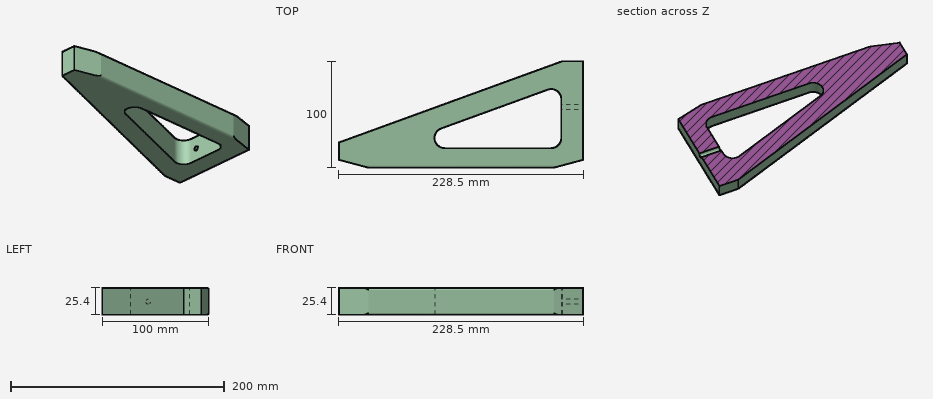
import cadquery as cq
import math

length = 228.5
width = 100.0
thickness = 25.4

tail_top = 23.8
slope_angle = 20.0
corner_cut = 27.5
corner_cut_angle = 15.0
front_edge_radius = 2.0

back_wall = 20.5
end_wall = 20.5
front_wall = 18.5
window_radius = 9.4

hole_diameter = 4.5
hole_y = 57.2

slope = math.tan(math.radians(slope_angle))
corner_rise = corner_cut * math.tan(math.radians(corner_cut_angle))
slope_end_x = (width - tail_top) / slope


def make_plate():
    """Wedge-shaped plate with rounded long front edges."""
    plate = (
        cq.Workplane("XY")
        .moveTo(corner_cut, 0)
        .lineTo(length - corner_cut, 0)
        .lineTo(length, corner_rise)
        .lineTo(length, width)
        .lineTo(slope_end_x, width)
        .lineTo(0, tail_top)
        .lineTo(0, corner_rise)
        .close()
        .extrude(thickness)
    )
    return plate.faces("<Y").edges("|X").fillet(front_edge_radius)


def make_window():
    """Rounded triangle whose long side is parallel to the sloped edge."""
    line_start_y = tail_top - back_wall / math.cos(math.radians(slope_angle))
    right_x = length - end_wall
    left_x = (front_wall - line_start_y) / slope
    return (
        cq.Workplane("XY")
        .moveTo(left_x, front_wall)
        .lineTo(right_x, front_wall)
        .lineTo(right_x, line_start_y + slope * right_x)
        .close()
        .extrude(thickness)
        .edges("|Z")
        .fillet(window_radius)
    )


def make_cross_hole():
    """Round hole along X from the window through the wide end."""
    return (
        cq.Workplane("YZ", origin=(length - end_wall, hole_y, thickness / 2))
        .circle(hole_diameter / 2)
        .extrude(end_wall)
    )


result = make_plate().cut(make_window()).cut(make_cross_hole())